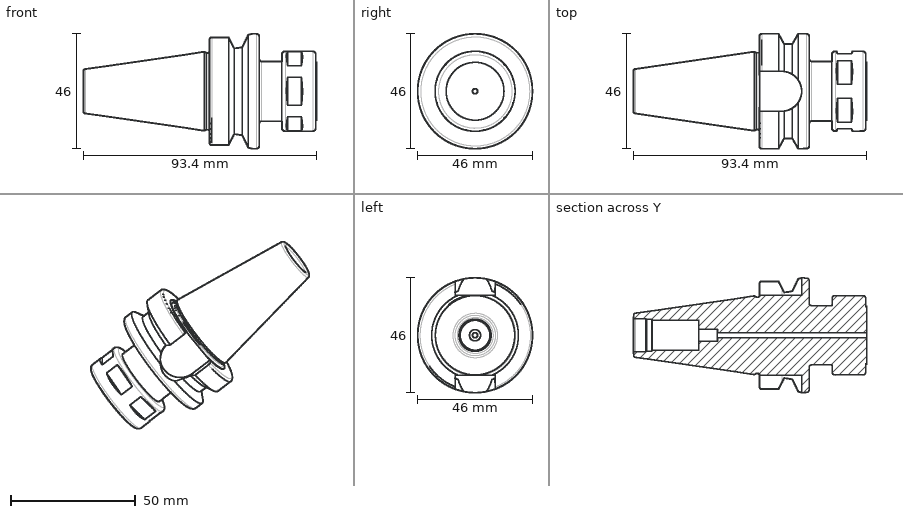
import cadquery as cq
import math

overall_length = 93.4

taper_slope = 7 / 24 / 2
taper_end = 48.4
taper_end_radius = 15.9
taper_start_radius = taper_end_radius - taper_end * taper_slope
shank_rounding = 0.8

neck_start = 49.2
neck_radius = 15.4
neck_fillet = 0.75
recess_depth = 0.2
recess_radius = 17.4

flange_start = 50.4
flange_end = 70.4
flange_radius = 46.0 / 2
flange_front_rounding = 0.9
flange_back_rounding = 1.2
groove_radius = 19.0
groove_start = 58.1
groove_floor_start = 60.3
groove_floor_end = 63.6
groove_end = 65.9

slot_width = 16.0
slot_end = 67.3
slot_floor = 16.1

body_radius = 24.0 / 2
body_fillet = 0.8

nut_start = 79.4
nut_end = 93.0
nut_radius = 32.0 / 2
nut_rounding = 1.3
nose_radius = 11.6

pocket_count = 6
pocket_start = 81.7
pocket_end = 87.2
pocket_flat = 15.0
pocket_wall_slope = 0.5

mouth_rounding = 0.75
pilot_radius = 12.9 / 2
pilot_depth = 5.0
land_radius = 12.5 / 2
land_length = 1.9
land_step_length = 0.4
blind_radius = 12.0 / 2
bore_depth = 26.15
centre_hole_radius = 4.5 / 2
centre_hole_depth = 7.5
coolant_radius = 2.0 / 2

diagonal = math.sqrt(0.5)


def quarter_arc(outline, centre, radius, axial_side, radial_side, end):
    """Continue the outline with a quarter circle whose middle lies on the given side of its centre."""
    middle = (
        centre[0] + axial_side * radius * diagonal,
        centre[1] + radial_side * radius * diagonal,
    )
    return outline.threePointArc(middle, end)


def make_shank_and_flange():
    recess_floor = flange_start + recess_depth
    fillet_start = recess_floor - neck_fillet
    front = flange_front_rounding
    back = flange_back_rounding
    outline = (
        cq.Workplane("XY")
        .lineTo(0, taper_start_radius)
        .lineTo(taper_end, taper_end_radius)
        .lineTo(neck_start, neck_radius)
        .lineTo(fillet_start, neck_radius)
    )
    outline = quarter_arc(
        outline, (fillet_start, neck_radius + neck_fillet), neck_fillet, 1, -1,
        (recess_floor, neck_radius + neck_fillet),
    )
    outline = (
        outline.lineTo(recess_floor, recess_radius)
        .lineTo(flange_start, recess_radius)
        .lineTo(flange_start, flange_radius - front)
    )
    outline = quarter_arc(
        outline, (flange_start + front, flange_radius - front), front, -1, 1,
        (flange_start + front, flange_radius),
    )
    outline = (
        outline.lineTo(groove_start, flange_radius)
        .lineTo(groove_floor_start, groove_radius)
        .lineTo(groove_floor_end, groove_radius)
        .lineTo(groove_end, flange_radius)
        .lineTo(flange_end - back, flange_radius)
    )
    outline = quarter_arc(
        outline, (flange_end - back, flange_radius - back), back, 1, 1,
        (flange_end, flange_radius - back),
    )
    outline = outline.lineTo(flange_end, body_radius + body_fillet)
    outline = quarter_arc(
        outline, (flange_end + body_fillet, body_radius + body_fillet), body_fillet, -1, -1,
        (flange_end + body_fillet, body_radius),
    )
    outline = outline.lineTo(nut_start, body_radius).lineTo(nut_start, 0).close()
    shank = outline.revolve(360, (0, 0, 0), (1, 0, 0))
    return shank.faces("<X").edges().fillet(shank_rounding)


def cylinder(start, end, radius):
    return cq.Workplane("YZ").workplane(offset=start).circle(radius).extrude(end - start)


def make_nut():
    nut = cylinder(nut_start, nut_end, nut_radius).edges().fillet(nut_rounding)
    pocket_height = nut_radius - pocket_flat
    pocket = (
        cq.Workplane("XY")
        .moveTo(pocket_start, pocket_flat)
        .lineTo(pocket_end, pocket_flat)
        .lineTo(pocket_end + pocket_wall_slope, pocket_flat + pocket_height)
        .lineTo(pocket_start - pocket_wall_slope, pocket_flat + pocket_height)
        .close()
        .extrude(nut_radius, both=True)
    )
    for index in range(pocket_count):
        nut = nut.cut(pocket.rotate((0, 0, 0), (1, 0, 0), index * 360 / pocket_count))
    return nut.union(cylinder(nut_end, overall_length, nose_radius))


def make_drive_slot():
    half_width = slot_width / 2
    arc_start = slot_end - half_width
    return (
        cq.Workplane("XY")
        .workplane(offset=slot_floor)
        .moveTo(neck_start, -half_width)
        .lineTo(arc_start, -half_width)
        .threePointArc((slot_end, 0), (arc_start, half_width))
        .lineTo(neck_start, half_width)
        .close()
        .extrude(flange_radius - slot_floor)
    )


def make_bore():
    land_start = pilot_depth + land_step_length
    land_end = land_start + land_length
    centre_hole_end = bore_depth + centre_hole_depth
    outline = cq.Workplane("XY").lineTo(0, pilot_radius + mouth_rounding)
    outline = quarter_arc(
        outline, (mouth_rounding, pilot_radius + mouth_rounding), mouth_rounding, -1, -1,
        (mouth_rounding, pilot_radius),
    )
    return (
        outline.lineTo(pilot_depth, pilot_radius)
        .lineTo(land_start, land_radius)
        .lineTo(land_end, land_radius)
        .lineTo(land_end + land_step_length, blind_radius)
        .lineTo(bore_depth, blind_radius)
        .lineTo(bore_depth, centre_hole_radius)
        .lineTo(centre_hole_end, centre_hole_radius)
        .lineTo(centre_hole_end, coolant_radius)
        .lineTo(overall_length, coolant_radius)
        .lineTo(overall_length, 0)
        .close()
        .revolve(360, (0, 0, 0), (1, 0, 0))
    )


drive_slot = make_drive_slot()
result = make_shank_and_flange().union(make_nut())
result = result.cut(drive_slot).cut(drive_slot.mirror("XY")).cut(make_bore())